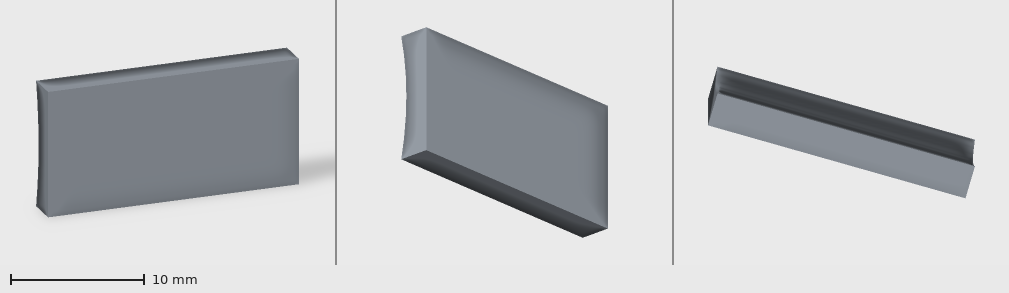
import cadquery as cq

thickness = 2.55
length = 20.0
height = 10.0

hollow_depth = 0.52

back_x = thickness / 2
edge_x = -thickness / 2
top_z = height / 2

profile = (
    cq.Workplane("XZ", origin=(0, length / 2, 0))
    .moveTo(edge_x, -top_z)
    .lineTo(back_x, -top_z)
    .lineTo(back_x, top_z)
    .lineTo(edge_x, top_z)
    .threePointArc((edge_x + hollow_depth, 0), (edge_x, -top_z))
    .close()
)

result = profile.extrude(length)